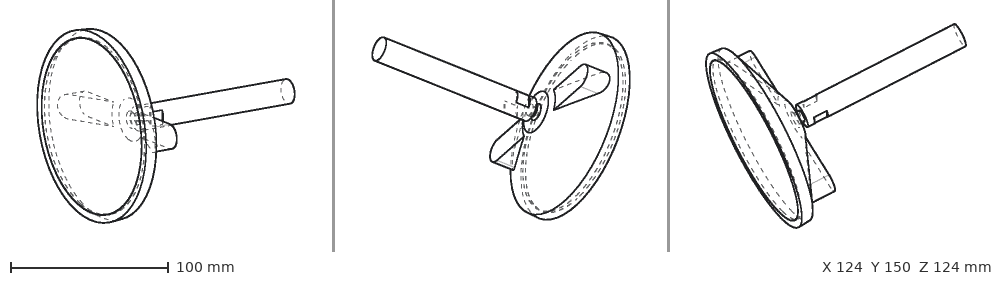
import cadquery as cq

base_diameter = 124.0
rim_top_diameter = 122.8
rim_height = 8.3
base_top_diameter = 28.0
base_height = 30.0

pad_diameter = 113.5
pad_recess_diameter = 114.0
groove_depth = 2.0

lug_width = 16.2
lug_span = 111.0
lug_top = 27.9

overall_length = 150.0
spindle_diameter = 16.0
spindle_start = 35.0
neck_diameter = 7.8
collar_top = 31.7
collar_bottom_diameter = neck_diameter + 2 * (collar_top - base_height)

flats_width = 13.0
flats_start = 40.0
flats_length = 9.5


def cylinder(diameter, start, end):
    """Cylinder on the Y axis between two Y positions."""
    disc = cq.Workplane("XZ", origin=(0, start, 0)).circle(diameter / 2)
    return disc.extrude(start - end)


def make_base():
    """Tapered rim topped by a cone."""
    profile = (
        cq.Workplane("XY")
        .lineTo(base_diameter / 2, 0)
        .lineTo(rim_top_diameter / 2, rim_height)
        .lineTo(base_top_diameter / 2, base_height)
        .lineTo(0, base_height)
        .close()
    )
    return profile.revolve(360, (0, 0, 0), (0, 1, 0))


def make_pad_groove():
    """Thin ring removed from the underside."""
    recess = cylinder(pad_recess_diameter, 0, groove_depth)
    return recess.cut(cylinder(pad_diameter, 0, groove_depth))


def make_lugs():
    """Slot-shaped bar across X, rising out of the cone on both sides."""
    outline = cq.Workplane("XZ", origin=(0, rim_height, 0)).slot2D(lug_span, lug_width)
    return outline.extrude(rim_height - lug_top)


def make_collar_and_neck():
    """Conical collar on top of the base and the thin neck above it."""
    profile = (
        cq.Workplane("XY")
        .moveTo(0, base_height)
        .lineTo(collar_bottom_diameter / 2, base_height)
        .lineTo(neck_diameter / 2, collar_top)
        .lineTo(neck_diameter / 2, spindle_start)
        .lineTo(0, spindle_start)
        .close()
    )
    return profile.revolve(360, (0, 0, 0), (0, 1, 0))


def make_spindle():
    """Round rod with a pair of opposite wrench flats facing -X and +X."""
    rod = cylinder(spindle_diameter, spindle_start, overall_length)
    cut_depth = (spindle_diameter - flats_width) / 2
    flats_middle = flats_start + flats_length / 2
    for side in (-1, 1):
        cutter = cq.Workplane("XY").box(cut_depth, flats_length, spindle_diameter)
        rod = rod.cut(cutter.translate((side * (flats_width + cut_depth) / 2, flats_middle, 0)))
    return rod


base = make_base().union(make_lugs()).cut(make_pad_groove())
result = base.union(make_collar_and_neck()).union(make_spindle())